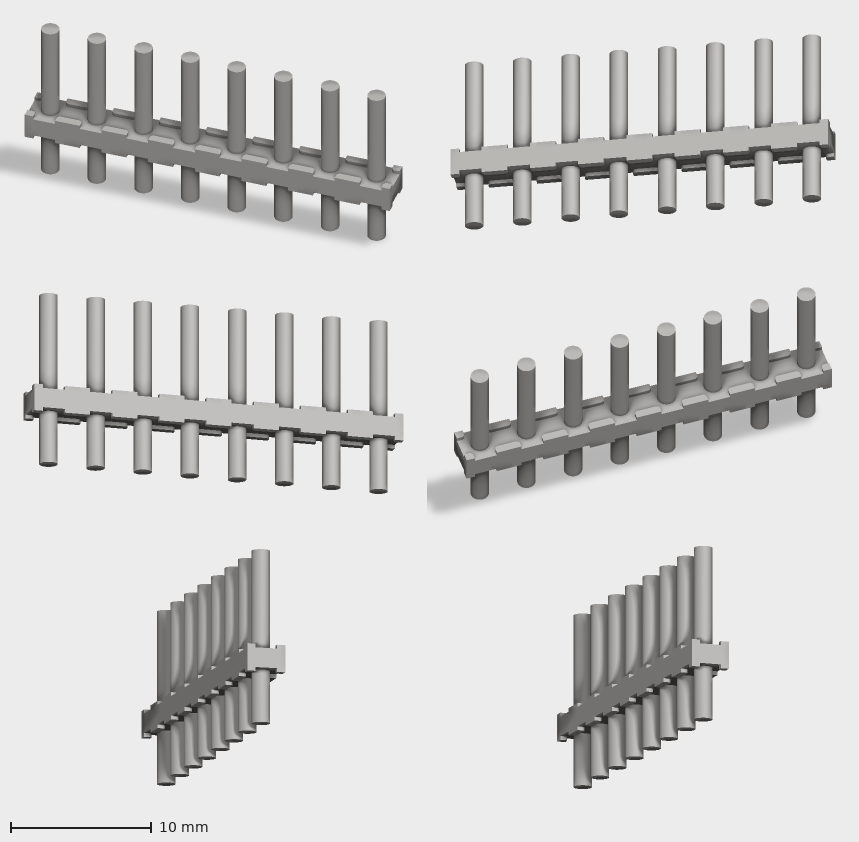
import cadquery as cq

bar_length = 27.4
bar_width = 2.8
bar_height = 1.97

pin_count = 8
pin_diameter = 1.32
pin_length = 12.5
pin_tail = 3.5
end_margin = 1.45
pin_pitch = (bar_length - 2 * end_margin) / (pin_count - 1)

pad_height = 0.27
pad_gap = 1.65
pad_depth = 0.6
pad_corner_radius = 0.27

channel_width = bar_width - 2 * pad_depth
pin_positions = [(end_margin + i * pin_pitch - bar_length / 2, 0) for i in range(pin_count)]


def make_relief(bottom):
    """Recess between the pads: a lengthwise channel crossed by a slot at every pin."""
    channel = cq.Workplane("XY").workplane(offset=bottom).rect(bar_length, channel_width).extrude(pad_height)
    slots = (
        cq.Workplane("XY")
        .workplane(offset=bottom)
        .pushPoints(pin_positions)
        .rect(pad_gap, bar_width)
        .extrude(pad_height)
    )
    relief = channel.union(slots)
    half_channel = channel_width / 2
    margin = 0.03
    near_channel_sides = cq.selectors.BoxSelector(
        (-bar_length / 2 + margin, -half_channel - margin, bottom - margin),
        (bar_length / 2 - margin, half_channel + margin, bottom + pad_height + margin),
    )
    return relief.edges("|Z").edges(near_channel_sides).fillet(pad_corner_radius)


def make_pins():
    """Row of straight pins, running the full height of the part."""
    return (
        cq.Workplane("XY")
        .workplane(offset=-pin_tail)
        .pushPoints(pin_positions)
        .circle(pin_diameter / 2)
        .extrude(pin_length)
    )


bar = cq.Workplane("XY").box(bar_length, bar_width, bar_height, centered=(True, True, False))
for relief_bottom in (0, bar_height - pad_height):
    bar = bar.cut(make_relief(relief_bottom))

result = bar.union(make_pins())